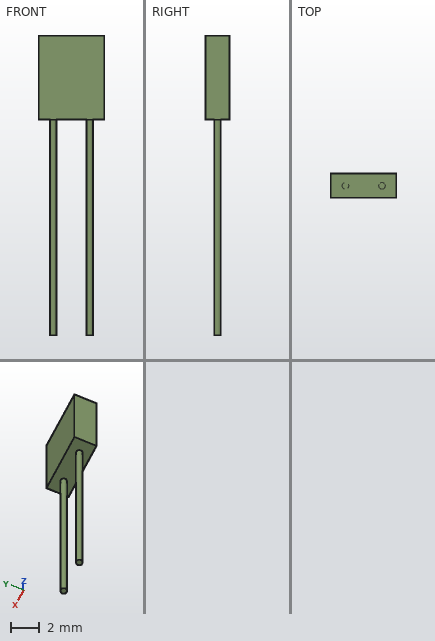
import cadquery as cq

body_width = 4.57
body_depth = 1.7
body_height = 5.84

lead_diameter = 0.46
lead_spacing = 2.54
lead_length = 15.0


def make_body():
    """Plain block standing on the XY plane, centred on the Z axis."""
    return cq.Workplane("XY").box(body_width, body_depth, body_height, centered=(True, True, False))


def make_lead(x):
    """Straight wire running down from the underside of the body."""
    return cq.Workplane("XY").center(x, 0).circle(lead_diameter / 2).extrude(-lead_length)


result = make_body()
for side in (-1, 1):
    result = result.union(make_lead(side * lead_spacing / 2))